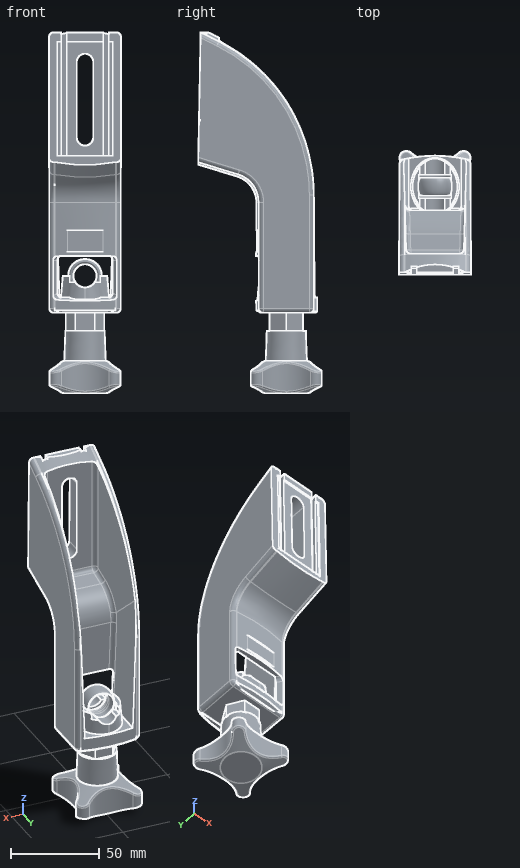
import cadquery as cq
import math


back_y = 15.6
front_y = -15.7
face_y = -50.0
face_bottom_z = 83.8
face_top_y = -48.6
top_z = 158.9
back_bend_z = 66.9
back_radius = 97.0
front_bend_z = 62.6
bend_radius = 16.6
underside_slope = 17.0
half_width_back = 20.1
half_width_face = 20.5
edge_fillet = 2.7
base_fillet = 2.7

front_crown_rise = 1.5
rear_crown_rise = 2.0
crown_half_width = 17.2
face_margin = 5.0

wall = 2.4
floor_z = 8.8
face_wall_y = -38.0
cavity_half_width_face = 15.9
cavity_half_width_back = 17.8
cavity_floor_half_width = 14.9
cavity_draft = 2.0
cavity_foot_fillet = 3.2
cavity_side_fillet = 2.5

recess_half_width = 15.6
recess_bottom_z = 89.0
recess_top_z = 153.5
recess_depth = 0.8
groove_inner_x = 10.4
groove_outer_x = 13.5
groove_depth = 3.6
slot_half_width = 4.6
slot_bottom_z = 94.8
slot_top_z = 146.7

window_half_width = 15.7
window_flare = 3.4
window_bottom_z = 8.8
window_sill_drop = 1.9
window_top_z = 32.2
window_corner = 2.5
label_half_width = 11.2
label_bottom_z = 34.6
label_top_z = 46.9
label_depth = 0.5

jaw_top_z = 21.0
jaw_base_x = 13.8
jaw_base_y = 16.4
jaw_taper = 5.0
bore_radius = 6.5
ring_radius = 8.0
ring_thickness = 1.6
ring_half_length = 5.1
jaw_groove_half_length = 6.6
jaw_groove_radius = 9.2
channel_half_width = 8.5
channel_floor_z = 17.5

hex_sides = 6
hex_corners = 22.0
hex_bottom_z = -10.2
neck_top_radius = 11.2
neck_bottom_radius = 11.8
neck_bottom_z = -27.0
knob_reach = 20.2
lobe_count = 4
lobe_radius = 4.0
lobe_angle = 47.5
knob_rim_radius = 27.0
knob_rim_top_z = -33.2
knob_rim_bottom_z = -41.0
knob_bottom_z = -45.6
knob_fillet = 1.0

slope = math.radians(underside_slope)
overlap = 1.0
reach = 200.0


def box(x0, x1, y0, y1, z0, z1):
    """Box between the given limits."""
    return cq.Workplane("XY").box(x1 - x0, y1 - y0, z1 - z0, centered=False).translate((x0, y0, z0))


def tapered_plan(half_face, half_back):
    """Tall prism whose half width runs linearly from half_face to half_back, with surplus at both ends."""
    growth = (half_back - half_face) / (back_y - face_y) * face_margin
    y0 = face_y - face_margin
    y1 = back_y + face_margin
    x0 = half_face - growth
    x1 = half_back + growth
    return cq.Workplane("XY").polyline([(-x0, y0), (x0, y0), (x1, y1), (-x1, y1)]).close().extrude(reach)


def bend_points(offset):
    """Start, middle, end of the inner bend, moved into the arm by offset."""
    centre_y = front_y - bend_radius
    radius = bend_radius + offset
    start = (centre_y + radius, front_bend_z)
    half_turn = (math.pi / 2 - slope) / 2
    middle = (centre_y + radius * math.cos(half_turn), front_bend_z + radius * math.sin(half_turn))
    end = (centre_y + radius * math.sin(slope), front_bend_z + radius * math.cos(slope))
    return start, middle, end


def along_underside(start, y):
    """Point at the given Y on the sloped underside line that passes through start."""
    return (y, start[1] + (start[0] - y) * math.tan(slope))


def back_point(degrees):
    """Point on the rear arc."""
    angle = math.radians(degrees)
    centre_y = back_y - back_radius
    return (centre_y + back_radius * math.cos(angle), back_bend_z + back_radius * math.sin(angle))


def back_arc_sweep():
    """Degrees of the rear arc, up to where its tangent passes through the top of the mounting face."""
    from_centre_y = face_top_y - (back_y - back_radius)
    from_centre_z = top_z - back_bend_z
    distance = math.hypot(from_centre_y, from_centre_z)
    return math.degrees(math.atan2(from_centre_z, from_centre_y) - math.acos(back_radius / distance))


def rear_end(sweep):
    """End of the straight stretch beyond the rear arc, surplus length included."""
    y = face_y - face_margin
    return (y, top_z + (face_top_y - y) / math.tan(math.radians(sweep)))


def arm_blank():
    """Side outline of the arm as a solid bar with rounded edges, over length at the mounting face."""
    bend_start, bend_middle, bend_end = bend_points(0)
    sweep = back_arc_sweep()
    outline = (
        cq.Workplane("YZ")
        .moveTo(back_y, 0)
        .lineTo(back_y, back_bend_z)
        .threePointArc(back_point(sweep / 2), back_point(sweep))
        .lineTo(*rear_end(sweep))
        .lineTo(*along_underside(bend_end, face_y - face_margin))
        .lineTo(*bend_end)
        .threePointArc(bend_middle, bend_start)
        .lineTo(front_y, 0)
        .close()
    )
    blank = outline.extrude(half_width_face + face_margin, both=True)
    blank = blank.intersect(tapered_plan(half_width_face, half_width_back))
    side_edges = blank.faces("<X or >X").edges()
    end_edges = blank.faces("<Z").edges().vals() + blank.faces("<Y").edges().vals()
    long_edges = [edge for edge in side_edges.vals() if not any(edge.isSame(end) for end in end_edges)]
    blank = blank.newObject(long_edges).fillet(edge_fillet)
    return blank.faces("<Z").edges().fillet(base_fillet)


def crown_section(y, rise):
    """Flat circular segment that bulges by the signed rise from the plane at y."""
    return (
        cq.Workplane("XY")
        .moveTo(-crown_half_width, y)
        .threePointArc((0, y + rise), (crown_half_width, y))
        .lineTo(crown_half_width, y - rise)
        .lineTo(-crown_half_width, y - rise)
        .close()
    )


def front_crown():
    """Crown that follows the front of the arm round the bend and out past the mounting face."""
    bend_start, bend_middle, bend_end = bend_points(0)
    path = (
        cq.Workplane("YZ")
        .moveTo(front_y, 0)
        .lineTo(*bend_start)
        .threePointArc(bend_middle, bend_end)
        .lineTo(*along_underside(bend_end, face_y - face_margin))
    )
    crown = crown_section(front_y, -front_crown_rise).sweep(path)
    return crown.faces("<Z").edges("<Y").chamfer(front_crown_rise, base_fillet)


def rear_crown():
    """Crown that follows the rear of the arm up and over to the mounting face."""
    sweep = back_arc_sweep()
    path = (
        cq.Workplane("YZ")
        .moveTo(back_y, 0)
        .lineTo(back_y, back_bend_z)
        .threePointArc(back_point(sweep / 2), back_point(sweep))
        .lineTo(*rear_end(sweep))
    )
    crown = crown_section(back_y, rear_crown_rise).sweep(path)
    return crown.faces("<Z").edges(">Y").chamfer(rear_crown_rise / 2)


def trim_envelope():
    """Space behind the leaning mounting face and below the flat top."""
    lean = (face_top_y - face_y) / (top_z - face_bottom_z)
    corners = [(face_y - lean * face_bottom_z, 0), (face_top_y, top_z), (reach, top_z), (reach, 0)]
    return cq.Workplane("YZ").polyline(corners).close().extrude(reach, both=True)


def cavity():
    """Drafted cavity that leaves the floor, front wall, mounting plate and side walls."""
    bend_start, bend_middle, bend_end = bend_points(wall)
    open_y = back_y + face_margin
    outline = (
        cq.Workplane("YZ")
        .moveTo(open_y, floor_z)
        .lineTo(open_y, reach)
        .lineTo(face_wall_y, reach)
        .lineTo(*along_underside(bend_end, face_wall_y))
        .lineTo(*bend_end)
        .threePointArc(bend_middle, bend_start)
        .lineTo(bend_start[0], floor_z)
        .close()
    )
    top_half_width = cavity_floor_half_width + (reach - floor_z) * math.tan(math.radians(cavity_draft))
    draft = (
        cq.Workplane("XZ", origin=(0, open_y, 0))
        .polyline([
            (-cavity_floor_half_width, floor_z),
            (cavity_floor_half_width, floor_z),
            (top_half_width, reach),
            (-top_half_width, reach),
        ])
        .close()
        .extrude(reach)
    )
    space = outline.extrude(reach, both=True)
    space = space.intersect(tapered_plan(cavity_half_width_face, cavity_half_width_back)).intersect(draft)
    foot = along_underside(bend_end, face_wall_y)
    foot_edge = cq.selectors.NearestToPointSelector((0, foot[0], foot[1]))
    space = space.edges(foot_edge).fillet(cavity_foot_fillet)
    corner_edges = [
        edge for edge in space.edges().vals()
        if abs(edge.Center().x) > cavity_floor_half_width and edge.Center().y <= bend_start[0]
    ]
    return space.newObject(corner_edges).fillet(cavity_side_fillet)


def mounting_face_cuts():
    """Shallow recess, two grooves open at the top, and the through slot."""
    tilt = math.degrees(math.atan((face_top_y - face_y) / (top_z - face_bottom_z)))
    cuts = box(-recess_half_width, recess_half_width, face_y - face_margin, face_y + recess_depth,
               recess_bottom_z, recess_top_z)
    for side in (-1, 1):
        x0, x1 = sorted((side * groove_inner_x, side * groove_outer_x))
        cuts = cuts.union(box(x0, x1, face_y - face_margin, face_y + groove_depth, recess_bottom_z, reach))
    cuts = cuts.rotate((0, face_y, face_bottom_z), (1, face_y, face_bottom_z), -tilt)
    slot = (
        cq.Workplane("XZ", origin=(0, face_wall_y + face_margin, (slot_bottom_z + slot_top_z) / 2))
        .slot2D(slot_top_z - slot_bottom_z, 2 * slot_half_width, 90)
        .extrude(reach)
    )
    return cuts.union(slot)


def window_sketch(half_width, bottom_z, offset):
    """Rounded window outline moved along the plane normal by offset."""
    outline = cq.Sketch().rect(2 * half_width, window_top_z - bottom_z).vertices().fillet(window_corner)
    return outline.moved(cq.Location(cq.Vector(0, (bottom_z + window_top_z) / 2, offset)))


def window():
    """Window through the front wall, flared at the sides and sill towards the front."""
    outer_half = window_half_width + window_flare
    outer_bottom = window_bottom_z - window_sill_drop
    return (
        cq.Workplane("XZ", origin=(0, front_y - front_crown_rise, 0))
        .placeSketch(
            window_sketch(outer_half, outer_bottom, 0),
            window_sketch(window_half_width, window_bottom_z, -wall - front_crown_rise - overlap),
        )
        .loft()
    )


def label_recess():
    """Shallow rectangular recess in the crest of the front crown."""
    crest_y = front_y - front_crown_rise
    return box(-label_half_width, label_half_width, crest_y - overlap, crest_y + label_depth,
               label_bottom_z, label_top_z)


def arm():
    """Hollow arm with crowned faces and all its openings."""
    body = arm_blank().union(front_crown()).union(rear_crown()).intersect(trim_envelope())
    return body.cut(cavity()).cut(mounting_face_cuts()).cut(window()).cut(label_recess())


def bore(radius, half_length):
    """Cylinder along Y on the jaw bore axis."""
    return cq.Workplane("XZ", origin=(0, 0, jaw_top_z)).circle(radius).extrude(half_length, both=True)


def clamp_jaw():
    """Tapered saddle block with a ring round the cross bore at mid-length."""
    block = (
        cq.Workplane("XY", origin=(0, 0, floor_z - overlap))
        .ellipse(jaw_base_x, jaw_base_y)
        .extrude(jaw_top_z - floor_z + overlap, taper=jaw_taper)
    )
    ring = (
        cq.Workplane("YZ", origin=(0, 0, jaw_top_z))
        .center(0, ring_radius)
        .ellipse(ring_half_length, ring_thickness)
        .revolve(360, (0, -ring_radius), (1, -ring_radius))
    )
    channel = box(-channel_half_width, channel_half_width, -reach, reach, channel_floor_z, reach)
    block = block.cut(channel).cut(bore(jaw_groove_radius, jaw_groove_half_length))
    return block.union(ring).cut(bore(bore_radius, reach))


def spindle():
    """Hexagonal shank and conical neck."""
    shank = (
        cq.Workplane("XY", origin=(0, 0, hex_bottom_z))
        .polygon(hex_sides, hex_corners)
        .extrude(overlap - hex_bottom_z)
    )
    neck = (
        cq.Workplane("XY", origin=(0, 0, neck_bottom_z))
        .circle(neck_bottom_radius)
        .workplane(offset=hex_bottom_z - neck_bottom_z)
        .circle(neck_top_radius)
        .loft()
    )
    return shank.union(neck)


def turned(x, y, angle):
    """Point (x, y) turned about the origin by an angle in radians."""
    return (x * math.cos(angle) - y * math.sin(angle), x * math.sin(angle) + y * math.cos(angle))


def star_knob():
    """Four-lobed knob: a star prism trimmed by a double cone."""
    lobe_centre = knob_reach - lobe_radius
    angle = math.radians(lobe_angle)
    joint_x = lobe_centre - lobe_radius * math.cos(angle)
    joint_y = lobe_centre + lobe_radius * math.sin(angle)
    hollow_radius = lobe_centre / math.cos(angle) - lobe_radius
    hollow_y = lobe_centre * (1 + math.tan(angle)) - hollow_radius
    tip = lobe_centre + lobe_radius / math.sqrt(2)

    star = cq.Workplane("XY", origin=(0, 0, knob_bottom_z)).moveTo(joint_x, joint_y)
    for lobe in range(lobe_count):
        turn = -2 * math.pi * lobe / lobe_count
        star = star.threePointArc(turned(tip, tip, turn), turned(joint_y, joint_x, turn))
        star = star.threePointArc(turned(hollow_y, 0, turn), turned(joint_y, -joint_x, turn))
    star = star.close().extrude(neck_bottom_z - knob_bottom_z)

    double_cone = (
        cq.Workplane("XZ")
        .polyline([
            (0, neck_bottom_z),
            (neck_bottom_radius, neck_bottom_z),
            (knob_rim_radius, knob_rim_top_z),
            (knob_rim_radius, knob_rim_bottom_z),
            (neck_bottom_radius, knob_bottom_z),
            (0, knob_bottom_z),
        ])
        .close()
        .revolve(360, (0, 0), (0, 1))
    )
    return star.intersect(double_cone).faces("not(<Z or >Z)").edges("not |Z").fillet(knob_fillet)


result = arm().union(clamp_jaw()).union(spindle()).union(star_knob())